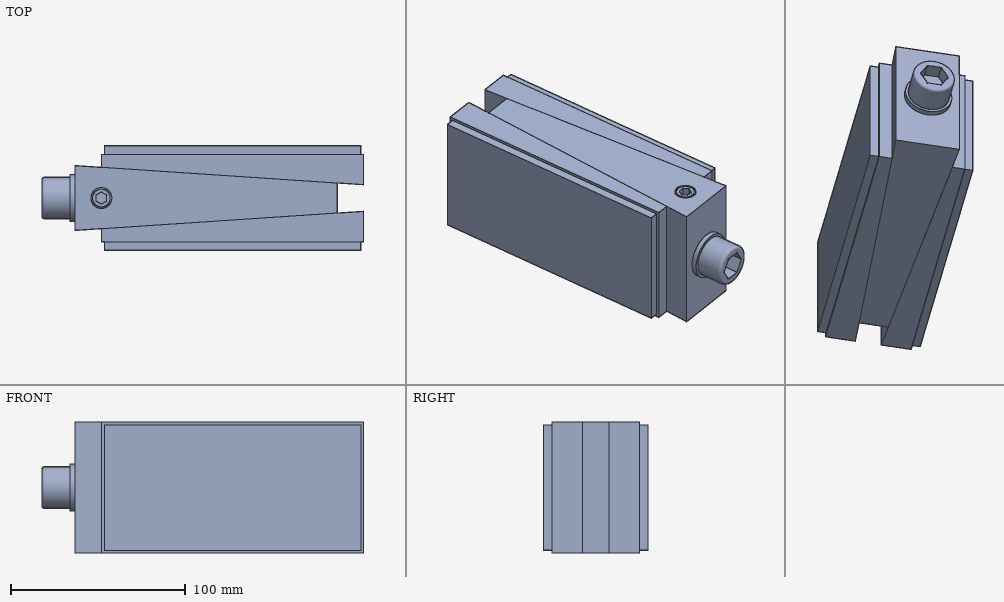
import cadquery as cq
import math

total_length = 184.0
total_width = 60.0
height = 75.0

head_length = 16.0
head_diameter = 24.0
head_fillet = 1.7
head_socket_flats = 14.0
head_socket_depth = 8.0
washer_thickness = 3.0
washer_diameter = 27.0

jaw_length = 150.0
pad_thickness = 5.0
pad_inset = 1.7

wedge_length = jaw_length
wedge_wide_end = 37.2
jaw_end_gap = 15.0

set_screw_diameter = 12.0
set_screw_chamfer = 1.0
set_screw_socket_flats = 6.0
set_screw_socket_depth = 5.5

end_x = total_length / 2
head_start_x = -end_x
washer_start_x = head_start_x + head_length
wedge_start_x = washer_start_x + washer_thickness
wedge_end_x = wedge_start_x + wedge_length
jaw_start_x = end_x - jaw_length
set_screw_x = jaw_start_x

jaw_outer_y = total_width / 2 - pad_thickness
top_z = height / 2


def slope_y(x):
    """Half width between the sloping faces at position x."""
    travel = (x - wedge_start_x) / (end_x - wedge_start_x)
    return (wedge_wide_end + travel * (jaw_end_gap - wedge_wide_end)) / 2


def corner_diameter(across_flats):
    """Diameter through the corners of a hexagon."""
    return across_flats / math.cos(math.pi / 6)


def extrude_full_height(points):
    """Prism over the whole height from an outline in X and Y."""
    return cq.Workplane("XY").workplane(offset=-top_z).polyline(points).close().extrude(height)


def make_clamping_screw():
    """Washer and rounded socket head, pointing toward -X."""
    washer = (
        cq.Workplane("YZ", origin=(washer_start_x, 0, 0))
        .circle(washer_diameter / 2)
        .extrude(washer_thickness)
    )
    head = (
        cq.Workplane("YZ", origin=(head_start_x, 0, 0))
        .circle(head_diameter / 2)
        .extrude(head_length)
        .faces("<X")
        .edges()
        .fillet(head_fillet)
    )
    socket = (
        cq.Workplane("YZ", origin=(head_start_x, 0, 0))
        .polygon(6, corner_diameter(head_socket_flats))
        .extrude(head_socket_depth)
    )
    return head.cut(socket).union(washer)


def make_set_screw_cut():
    """Bevelled ring around the set screw, together with its hexagon socket."""
    outer_radius = set_screw_diameter / 2
    bevel_ring = (
        cq.Workplane("XZ", origin=(set_screw_x, 0, 0))
        .polyline([
            (outer_radius - set_screw_chamfer, top_z),
            (outer_radius, top_z),
            (outer_radius, top_z - set_screw_chamfer),
        ])
        .close()
        .revolve(360, (0, 0, 0), (0, 1, 0))
    )
    socket = (
        cq.Workplane("XY", origin=(set_screw_x, 0, top_z))
        .transformed(rotate=(0, 0, 30))
        .polygon(6, corner_diameter(set_screw_socket_flats))
        .extrude(-set_screw_socket_depth)
    )
    return bevel_ring.add(socket).combine()


def make_wedge():
    """Tapered block carrying the clamping screw and the set screw."""
    block = extrude_full_height([
        (wedge_start_x, slope_y(wedge_start_x)),
        (wedge_end_x, slope_y(wedge_end_x)),
        (wedge_end_x, -slope_y(wedge_end_x)),
        (wedge_start_x, -slope_y(wedge_start_x)),
    ])
    return block.union(make_clamping_screw()).cut(make_set_screw_cut())


def make_jaw(side):
    """Jaw with its pad on the +Y side (side = 1) or the -Y side (side = -1)."""
    block = extrude_full_height([
        (jaw_start_x, side * jaw_outer_y),
        (end_x, side * jaw_outer_y),
        (end_x, side * slope_y(end_x)),
        (jaw_start_x, side * slope_y(jaw_start_x)),
    ])
    pad_center_x = (jaw_start_x + end_x) / 2
    pad_center_y = side * (jaw_outer_y + pad_thickness / 2)
    pad = cq.Workplane("XY", origin=(pad_center_x, pad_center_y, 0)).box(
        jaw_length - 2 * pad_inset, pad_thickness, height - 2 * pad_inset
    )
    return block.union(pad)


wedge = make_wedge()
jaws = [make_jaw(side) for side in (1, -1)]

result = cq.Compound.makeCompound([body.solids().val() for body in (wedge, *jaws)])